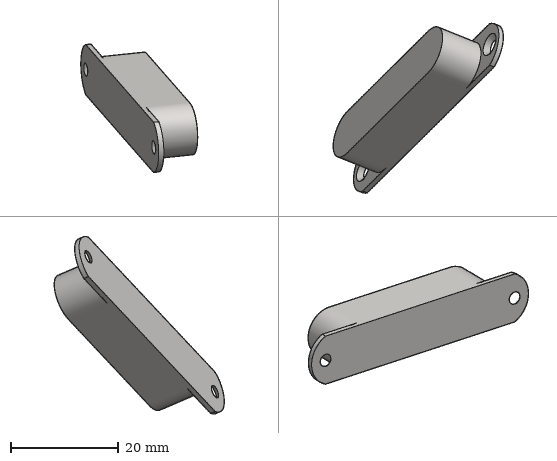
import cadquery as cq

plate_length = 50.5
height = 10.0
plate_thickness = 1.0
end_arc_depth = 3.25

total_depth = 9.5
body_length = 38.05
body_depth = total_depth - plate_thickness

hole_diameter = 2.4
hole_spacing = 44.0
countersink_diameter = hole_diameter + 2 * plate_thickness

half_length = plate_length / 2
half_height = height / 2
straight_half = half_length - end_arc_depth


def make_plate():
    """Flat plate with straight long edges and bowed ends; front face at Y = 0."""
    return (
        cq.Workplane("XZ")
        .moveTo(-straight_half, -half_height)
        .lineTo(straight_half, -half_height)
        .threePointArc((half_length, 0), (straight_half, half_height))
        .lineTo(-straight_half, half_height)
        .threePointArc((-half_length, 0), (-straight_half, -half_height))
        .close()
        .extrude(-plate_thickness)
    )


def make_body():
    """Solid block with half-round ends, standing on the back of the plate."""
    return (
        cq.Workplane("XZ", origin=(0, plate_thickness, 0))
        .slot2D(body_length, height)
        .extrude(-body_depth)
    )


def make_hole(x):
    """Cutter for one through hole, tapering wider towards the back of the plate."""
    hole_radius = hole_diameter / 2
    countersink_radius = countersink_diameter / 2
    half_profile = (
        cq.Workplane("XY", origin=(x, 0, 0))
        .lineTo(hole_radius, 0)
        .lineTo(countersink_radius, plate_thickness)
        .lineTo(0, plate_thickness)
        .close()
    )
    return half_profile.revolve(360, (0, 0, 0), (0, 1, 0))


result = make_plate().union(make_body())
for hole_x in (-hole_spacing / 2, hole_spacing / 2):
    result = result.cut(make_hole(hole_x))